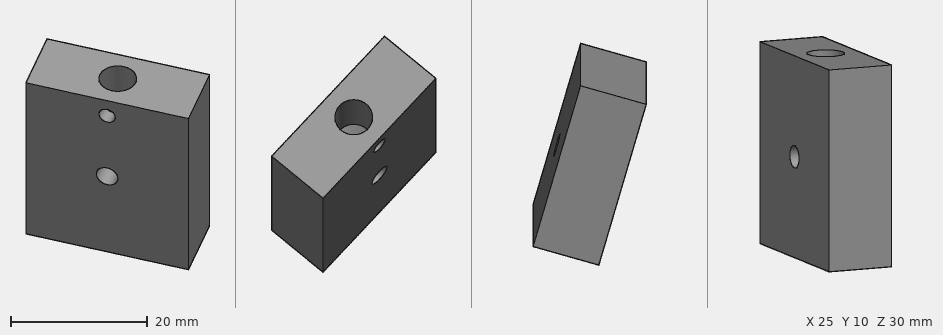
import cadquery as cq
import math

height = 30.0
width = height * 5 / 6
thickness = height / 3

top_hole_diameter = 5.5
top_hole_depth = 10.0
drill_point_angle = 118.0

through_hole_diameter = 3.3

cross_hole_diameter = 2.5
cross_hole_drop = 3.0


def front_hole(diameter, z, depth):
    """Cylinder entering the front (-Y) face at height z."""
    start = cq.Vector(0, -thickness / 2, z)
    return cq.Workplane(cq.Solid.makeCylinder(diameter / 2, depth, start, cq.Vector(0, 1, 0)))


def drilled_top_hole():
    """Revolved drill profile: straight wall ending in a cone."""
    radius = top_hole_diameter / 2
    wall_bottom = height - top_hole_depth
    tip = wall_bottom - radius / math.tan(math.radians(drill_point_angle / 2))
    profile = (
        cq.Workplane("XZ")
        .moveTo(0, height)
        .lineTo(radius, height)
        .lineTo(radius, wall_bottom)
        .lineTo(0, tip)
        .close()
    )
    return profile.revolve(360, (0, 0, 0), (0, 1, 0))


block = cq.Workplane("XY").box(width, thickness, height, centered=(True, True, False))
through_hole = front_hole(through_hole_diameter, height / 2, thickness)
cross_hole = front_hole(cross_hole_diameter, height - cross_hole_drop, thickness / 2)

result = block.cut(drilled_top_hole()).cut(through_hole).cut(cross_hole)